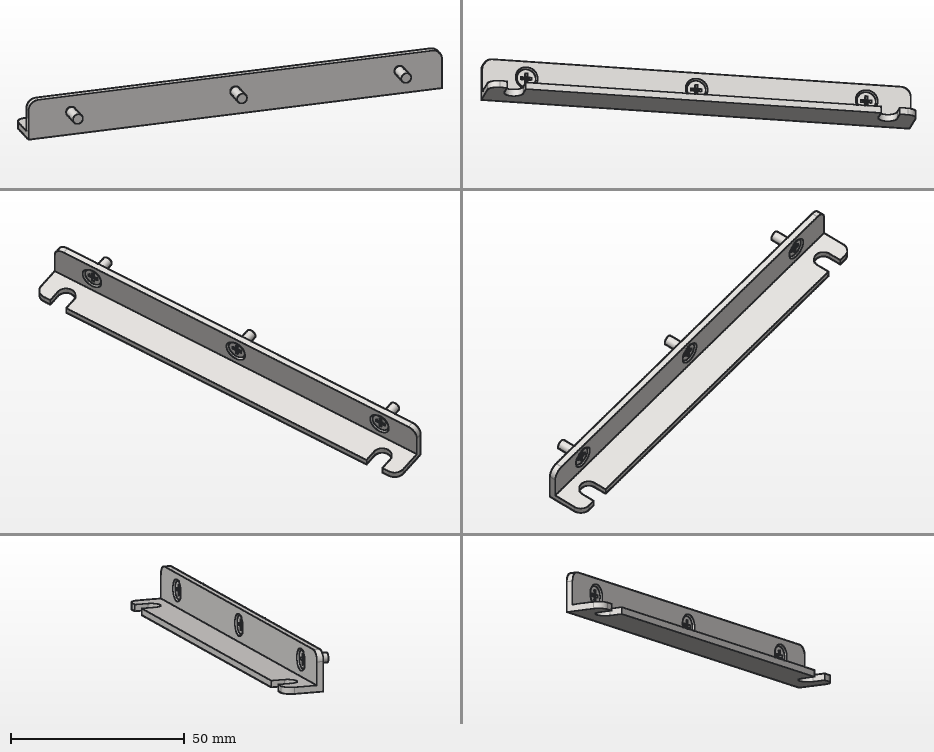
import cadquery as cq

bracket_length = 126.0
flange_width = 12.0
wall_height = 12.0
thickness = 2.0
corner_radius = 3.0
wall_face_x = flange_width - thickness

slot_width = 5.5
slot_centre_x = 4.0
slot_end_distance = 8.0
slot_y = bracket_length / 2 - slot_end_distance

screw_spacing = 50.0
screw_count = 3
screw_z = 7.0
shank_radius = 1.5
head_radius = 2.75
countersink_radius = 3.25
head_face_x = wall_face_x + countersink_radius - head_radius
head_end_x = wall_face_x + countersink_radius - shank_radius
screw_tip_x = 18.0

cross_span = 3.2
cross_arm_width = 0.7
cross_depth = 1.2

screw_positions = [(i - (screw_count - 1) / 2) * screw_spacing for i in range(screw_count)]


def revolve_about_screw_axis(profile, y):
    """Turn an (x, radius) profile about the screw axis at the given Y."""
    axis_plane = cq.Workplane("XY", origin=(0, y, screw_z))
    return axis_plane.polyline(profile).close().revolve(360, (0, 0), (1, 0))


def make_slot(y):
    """A slot open at the flange's free edge, with a round inner end."""
    straight = cq.Workplane("XY").box(slot_centre_x, slot_width, thickness, centered=(False, True, False))
    round_end = cq.Workplane("XY").center(slot_centre_x, 0).circle(slot_width / 2).extrude(thickness)
    return straight.union(round_end).translate((0, y, 0))


def make_flange():
    flange = cq.Workplane("XY").box(flange_width, bracket_length, thickness, centered=(False, True, False))
    flange = flange.edges("|Z and <X").fillet(corner_radius)
    for y in (-slot_y, slot_y):
        flange = flange.cut(make_slot(y))
    return flange


def make_wall():
    wall = cq.Workplane("XY").box(thickness, bracket_length, wall_height, centered=(False, True, False))
    wall = wall.edges("|X and >Z").fillet(corner_radius)
    return wall.translate((wall_face_x, 0, 0))


def make_screw_hole(y):
    """Hole for one screw: a countersink running into a plain hole through the wall."""
    profile = [
        (wall_face_x, 0),
        (wall_face_x, countersink_radius),
        (head_end_x, shank_radius),
        (flange_width, shank_radius),
        (flange_width, 0),
    ]
    return revolve_about_screw_axis(profile, y)


def make_bracket():
    bracket = make_flange().union(make_wall())
    for y in screw_positions:
        bracket = bracket.cut(make_screw_hole(y))
    return bracket


def make_cross_recess(y):
    """Two crossed grooves whose floors slope from the arm tips to a flat bottom on the screw axis."""
    half_span = cross_span / 2
    half_width = cross_arm_width / 2
    profile = [(0, -half_span), (0, half_span), (cross_depth, half_width), (cross_depth, -half_width)]
    groove = cq.Workplane("XY").polyline(profile).close().extrude(half_width, both=True)
    crossing_groove = groove.rotate((0, 0, 0), (1, 0, 0), 90)
    return groove.union(crossing_groove).translate((head_face_x, y, screw_z))


def make_screw(y):
    profile = [
        (head_face_x, 0),
        (head_face_x, head_radius),
        (head_end_x, shank_radius),
        (screw_tip_x, shank_radius),
        (screw_tip_x, 0),
    ]
    screw = revolve_about_screw_axis(profile, y)
    return screw.cut(make_cross_recess(y))


bracket = make_bracket()
screws = [make_screw(y) for y in screw_positions]

result = cq.Compound.makeCompound([bracket.val(), *[screw.val() for screw in screws]])